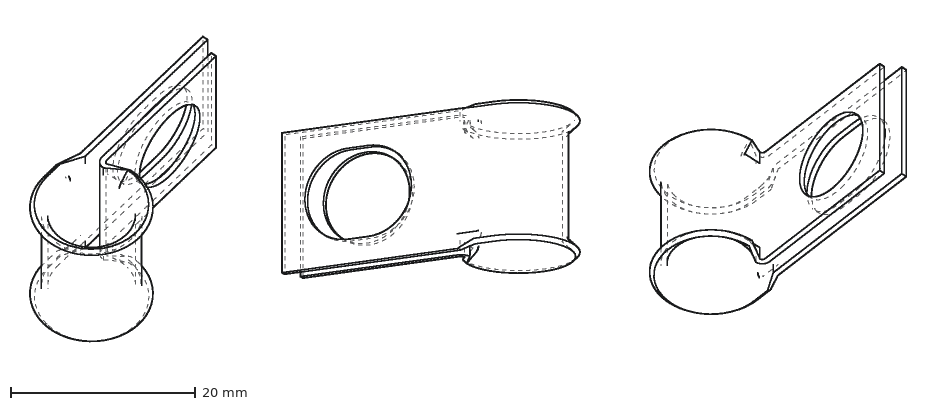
import cadquery as cq
import math


thickness = 0.68
height = 15.87
inner_radius = 4.77
outer_radius = inner_radius + thickness
flare_radius = 6.7

overall_length = 32.45
long_leg_end = overall_length - flare_radius
short_leg_end = long_leg_end - 1.2
short_leg_x = -3.3
leg_bend_inner = 0.4
leg_bend_outer = leg_bend_inner + thickness

flare_bend_start = 6.17
flare_bend_inner = 0.13
flare_bend_outer = flare_bend_inner + thickness
flare_straight = 2.25
flare_taper = 2.53

hole_diameter = 10.32
slot_length = 12.75
hole_y = long_leg_end - 9.12

bend_x = short_leg_x + leg_bend_outer
bend_y = inner_radius + leg_bend_outer


def flare_points():
    """Points (radius, Z) around the flare section, from the inner foot to the outer foot."""
    centre = outer_radius + flare_bend_inner

    def on_bend(radius, degrees):
        angle = math.radians(degrees)
        return (centre - radius * math.cos(angle), flare_bend_start + radius * math.sin(angle))

    outer_end = on_bend(flare_bend_inner, 45)
    tip = (flare_radius, outer_end[1] + flare_radius - outer_end[0])
    lip_step = thickness / math.sqrt(2)
    return [
        (inner_radius, flare_bend_start),
        on_bend(flare_bend_outer, 22.5),
        on_bend(flare_bend_outer, 45),
        (tip[0] - lip_step, tip[1] + lip_step),
        tip,
        outer_end,
        on_bend(flare_bend_inner, 22.5),
        (outer_radius, flare_bend_start),
    ]


def flare_section(plane, side=1):
    """Closed flare section; side = -1 draws it towards negative local X."""
    points = [(side * radius, z) for radius, z in flare_points()]
    foot_in, mid_in, end_in, lip_in, tip, end_out, mid_out, foot_out = points
    return (
        cq.Workplane(plane)
        .moveTo(*foot_in)
        .threePointArc(mid_in, end_in)
        .lineTo(*lip_in)
        .lineTo(*tip)
        .lineTo(*end_out)
        .threePointArc(mid_out, foot_out)
        .close()
    )


def flare_end_points():
    """Outline of the flare (radius, Z) with its two bend arcs reduced to chords."""
    foot_in, _, end_in, lip_in, tip, end_out, _, foot_out = flare_points()
    return [foot_in, end_in, lip_in, tip, end_out, foot_out]


def flat_end_points():
    """Outline of the unbent strip edge, point for point with flare_end_points."""
    outline = flare_end_points()
    top = height / 2
    return [
        outline[0],
        (inner_radius, outline[1][1]),
        (inner_radius, top),
        (outer_radius, top),
        (outer_radius, outline[4][1]),
        outline[5],
    ]


def taper(to_xyz, start, end):
    """Blend from the flare at 'start' to the flat strip at 'end' along a straight run."""
    wires = []
    for outline, place in ((flare_end_points(), start), (flat_end_points(), end)):
        corners = [cq.Vector(*to_xyz(radius, z, place)) for radius, z in outline]
        wires.append(cq.Wire.makePolygon(corners, close=True))
    return cq.Workplane(obj=cq.Solid.makeLoft(wires, True))


def block(x_min, x_max, y_min, y_max, z_min, z_max):
    size = (x_max - x_min, y_max - y_min, z_max - z_min)
    return cq.Workplane().box(*size, centered=False).translate((x_min, y_min, z_min))


def make_tube():
    """Ring wall between the flares: 270 degrees round, with straight runs to both legs."""
    wall = cq.Workplane().circle(outer_radius).circle(inner_radius)
    wall = wall.extrude(2 * flare_bend_start).translate((0, 0, -flare_bend_start))
    wall = wall.cut(block(-outer_radius, 0, 0, outer_radius, -height, height))
    span = (-flare_bend_start, flare_bend_start)
    left_run = block(-outer_radius, -inner_radius, 0, flare_straight + flare_taper, *span)
    back_run = block(bend_x, 0, inner_radius, outer_radius, *span)
    return wall.union(left_run).union(back_run)


def make_flare():
    """Upper flare round the ring, its straight run and its two tapered ends."""
    ring = flare_section("XZ", -1).revolve(270, (0, 0), (0, 1))
    straight = flare_section("XZ", -1).extrude(-flare_straight)
    left_taper = taper(
        lambda radius, z, y: (-radius, y, z), flare_straight, flare_straight + flare_taper
    )
    back_taper = taper(lambda radius, z, x: (x, radius, z), 0, bend_x)
    return ring.union(straight).union(left_taper).union(back_taper)


def make_long_leg():
    leg = block(
        -outer_radius, -inner_radius, flare_straight + flare_taper, long_leg_end,
        -height / 2, height / 2,
    )
    slot = (
        cq.Workplane("YZ", origin=(-outer_radius, hole_y, 0))
        .slot2D(slot_length, hole_diameter)
        .extrude(thickness)
    )
    return leg.cut(slot)


def make_short_leg():
    """Short leg with the rounded bend joining it to the ring."""
    diagonal = math.sqrt(0.5)
    inner_x = short_leg_x + thickness
    leg = (
        cq.Workplane()
        .moveTo(bend_x, inner_radius)
        .threePointArc(
            (bend_x - leg_bend_outer * diagonal, bend_y - leg_bend_outer * diagonal),
            (short_leg_x, bend_y),
        )
        .lineTo(short_leg_x, short_leg_end)
        .lineTo(inner_x, short_leg_end)
        .lineTo(inner_x, bend_y)
        .threePointArc(
            (bend_x - leg_bend_inner * diagonal, bend_y - leg_bend_inner * diagonal),
            (bend_x, outer_radius),
        )
        .close()
        .extrude(height)
        .translate((0, 0, -height / 2))
    )
    hole = (
        cq.Workplane("YZ", origin=(short_leg_x, hole_y, 0))
        .circle(hole_diameter / 2)
        .extrude(thickness)
    )
    return leg.cut(hole)


upper_flare = make_flare()
lower_flare = upper_flare.mirror("XY")
result = make_tube().union(upper_flare).union(lower_flare)
result = result.union(make_long_leg()).union(make_short_leg())